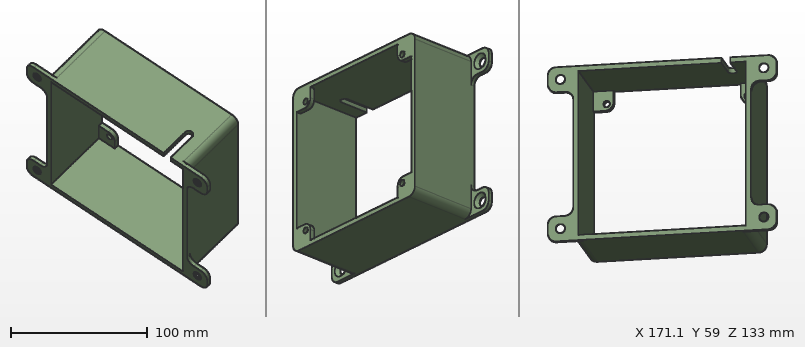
import cadquery as cq

overall_width = 171.1
frame_size = 133.0
frame_depth = 59.0
wall = 4.0
corner_radius = 6.3
inner_size = frame_size - 2 * wall

ear_reach = (overall_width - frame_size) / 2
ear_height = ear_reach
ear_thickness = 3.5
ear_hole_diameter = 6.8
ear_hole_inset = ear_height / 2
ear_hole_lip = 0.7
countersink_diameter = 12.3

tab_size = 15.0
tab_thickness = wall
tab_hole_diameter = 4.8
tab_hole_inset = 10.0

slot_width = 6.5
slot_length = 28.2
slot_x = 47.5

front_y = -frame_depth / 2
back_y = frame_depth / 2


def plate(width, height, start_y, depth):
    """Centred rectangular block running from start_y toward +Y."""
    return cq.Workplane("XY").box(width, depth, height).translate((0, start_y + depth / 2, 0))


def corner_holes(x, z, diameter):
    """Four cylinders along Y, mirrored about both centre planes, running the full depth."""
    return (
        cq.Workplane("XZ", origin=(0, back_y, 0))
        .rect(2 * x, 2 * z, forConstruction=True)
        .vertices()
        .circle(diameter / 2)
        .extrude(frame_depth)
    )


def frame():
    """Outer block of the frame, with its long edges rounded."""
    return plate(frame_size, frame_size, front_y, frame_depth).edges("|Y").fillet(corner_radius)


def ear_flange():
    """Front plate with a rounded recess on each side, leaving an ear at every corner."""
    flange = plate(overall_width, frame_size, front_y, ear_thickness)
    recess_height = frame_size - 2 * ear_height
    for side in (-1, 1):
        recess_x = side * (frame_size + ear_reach) / 2
        recess = plate(ear_reach, recess_height, front_y, ear_thickness).translate((recess_x, 0, 0))
        flange = flange.cut(recess)
    return flange.edges("|Y").fillet(corner_radius)


def corner_tabs():
    """Four tabs set in the inner corners, each with its free corner rounded."""
    tabs = plate(inner_size, inner_size, back_y - tab_thickness, tab_thickness)
    opening_size = inner_size - 2 * tab_size
    wide = plate(inner_size, opening_size, front_y, frame_depth)
    tall = plate(opening_size, inner_size, front_y, frame_depth)
    cross = wide.union(tall)
    reach = (inner_size - tab_size) / 2
    inner_corners = cq.selectors.BoxSelector((-reach, front_y, -reach), (reach, back_y, reach))
    cross = cross.edges("|Y").edges(inner_corners).fillet(corner_radius)
    return tabs.cut(cross)


def ear_countersinks(x, z):
    """Cones that widen the ear holes toward the back face of the ears."""
    cone = cq.Solid.makeCone(
        ear_hole_diameter / 2,
        countersink_diameter / 2,
        ear_thickness - ear_hole_lip,
        pnt=cq.Vector(0, front_y + ear_hole_lip, 0),
        dir=cq.Vector(0, 1, 0),
    )
    cones = cq.Workplane("XY")
    for x_side in (-1, 1):
        for z_side in (-1, 1):
            cones = cones.add(cone.translate(cq.Vector(x_side * x, 0, z_side * z)))
    return cones.combine()


def wall_slot():
    """Cutter for the slot through the top wall."""
    straight_length = slot_length - slot_width / 2
    round_end_y = front_y + straight_length
    base = cq.Workplane("XY", origin=(slot_x, 0, inner_size / 2))
    straight = base.center(0, front_y + straight_length / 2).rect(slot_width, straight_length).extrude(wall)
    round_end = (
        cq.Workplane("XY", origin=(slot_x, round_end_y, inner_size / 2)).circle(slot_width / 2).extrude(wall)
    )
    return straight.union(round_end)


ear_hole_x = overall_width / 2 - ear_hole_inset
ear_hole_z = frame_size / 2 - ear_hole_inset
tab_hole_offset = inner_size / 2 - tab_hole_inset

result = (
    ear_flange()
    .cut(ear_countersinks(ear_hole_x, ear_hole_z))
    .union(frame())
    .cut(plate(inner_size, inner_size, front_y, frame_depth))
    .union(corner_tabs())
    .cut(wall_slot())
    .cut(corner_holes(ear_hole_x, ear_hole_z, ear_hole_diameter))
    .cut(corner_holes(tab_hole_offset, tab_hole_offset, tab_hole_diameter))
)